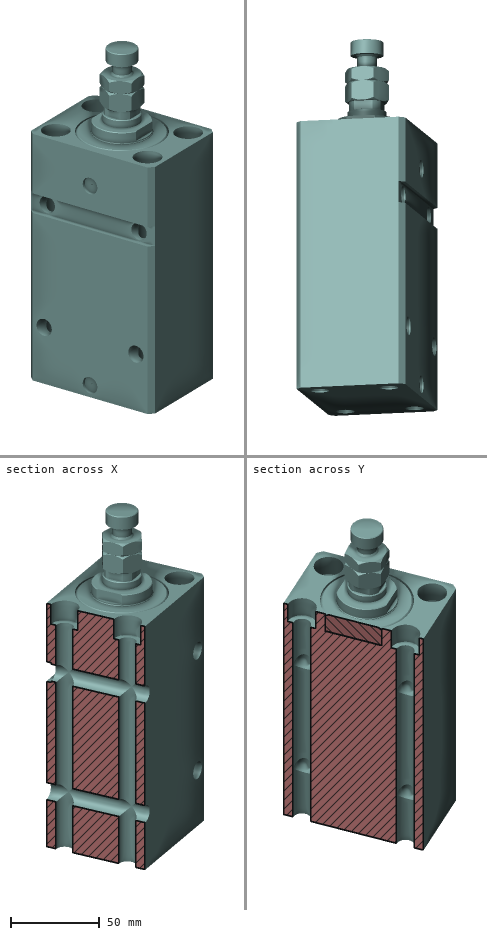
import cadquery as cq
import math

width = 85.0
depth = 63.0
total_height = 205.0
block_height = 153.0
edge_chamfer = 3.0

slot_height = 12.0
slot_depth = 3.0
slot_top = -37.0
hole_diameter = 10.5
hole_spacing_x = 63.0
hole_spacing_y = 40.0
cross_hole_spacing_z = 75.0
counterbore_diameter = 16.8
counterbore_depth = 12.3

port_diameter = 10.0
port_depth = 2.0
port_bore_diameter = 1.0
port_bore_depth = 2.0
upper_port_drop = 22.0
lower_port_rise = 7.4

gland_diameter = 52.9
gland_depth = 12.3
gland_chamfer = 1.2
boss_diameter = 34.5
boss_height = 7.2
boss_flats = 30.3
boss_shoulder_height = 1.2
boss_rim_diameter = 35.3
boss_rim_height = 0.6
boss_chamfer = 0.5

rod_diameter = 22.1
collar_height = 4.7
rod_chamfer = 0.5
square_flats = 18.0
square_corner_diameter = 21.0
square_height = 5.1

hex_flats = 22.0
lower_hex_height = 11.3
upper_hex_height = 8.0
hex_chamfer_angle = 38
neck_diameter = 11.0
neck_height = 7.8
neck_flare = 1.0
head_diameter = 18.5
head_chamfer = 0.5

housing_bottom = -block_height
head_top = total_height - block_height
slot_middle = slot_top - slot_height / 2
collar_top = boss_height + collar_height
rod_end = collar_top + square_height
lower_hex_top = rod_end + lower_hex_height
upper_hex_top = lower_hex_top + upper_hex_height
head_bottom = upper_hex_top + neck_height
front_face = -depth / 2


def cylinder(diameter, bottom, top):
    """Upright cylinder on the Z axis between two levels."""
    return cq.Workplane("XY").workplane(offset=bottom).circle(diameter / 2).extrude(top - bottom)


def front_drill(diameter, points, start_y, length):
    """Cylinders running in +Y from start_y at the given (x, z) points."""
    plane = cq.Workplane("XZ", origin=(0, start_y, 0))
    return plane.pushPoints(points).circle(diameter / 2).extrude(-length)


def make_housing():
    """Block with cross slot, mounting holes, ports and the recess for the gland."""
    block = cq.Workplane("XY").workplane(offset=housing_bottom).rect(width, depth).extrude(block_height)
    block = block.edges("|Z").chamfer(edge_chamfer)

    slot = cq.Workplane("XY").box(width, 2 * slot_depth, slot_height).translate((0, front_face, slot_middle))
    block = block.cut(slot)

    block = (
        block.faces(">Z").workplane(origin=(0, 0, 0))
        .rarray(hole_spacing_x, hole_spacing_y, 2, 2)
        .cboreHole(hole_diameter, counterbore_diameter, counterbore_depth)
    )

    cross_holes = [
        (side * hole_spacing_x / 2, level)
        for side in (-1, 1)
        for level in (slot_middle, slot_middle - cross_hole_spacing_z)
    ]
    block = block.cut(front_drill(hole_diameter, cross_holes, front_face, depth))

    ports = [(0, -upper_port_drop), (0, housing_bottom + lower_port_rise)]
    block = block.cut(front_drill(port_diameter, ports, front_face, port_depth))
    block = block.cut(front_drill(port_bore_diameter, ports, front_face + port_depth, port_bore_depth))

    return block.cut(cylinder(gland_diameter, -gland_depth, 0))


def make_gland():
    """Chamfered disc flush with the housing, with a rimmed two-flat boss and a bore for the rod."""
    disc = cylinder(gland_diameter, -gland_depth, 0).faces(">Z").chamfer(gland_chamfer)

    boss = cylinder(boss_diameter, 0, boss_height).faces(">Z").edges().chamfer(boss_chamfer)
    between_flats = (
        cq.Workplane("XY").workplane(offset=boss_shoulder_height)
        .rect(boss_flats, boss_diameter).extrude(boss_height - boss_shoulder_height)
    )
    shoulder = cylinder(boss_diameter, 0, boss_shoulder_height)
    boss = boss.intersect(between_flats.union(shoulder))

    rim_chamfer = (boss_rim_diameter - boss_diameter) / 2
    rim = cylinder(boss_rim_diameter, 0, boss_rim_height).faces(">Z").edges().chamfer(rim_chamfer)

    return disc.union(boss).union(rim).cut(cylinder(rod_diameter, -gland_depth, boss_height))


def make_rod():
    """Round rod through the gland, ending in a wrench square with rounded corners."""
    rod = cylinder(rod_diameter, -gland_depth, collar_top).faces(">Z").edges().chamfer(rod_chamfer)
    square = cq.Workplane("XY").workplane(offset=collar_top).rect(square_flats, square_flats)
    square = square.extrude(square_height)
    return rod.union(square.intersect(cylinder(square_corner_diameter, collar_top, rod_end)))


def chamfered_hexagon(bottom, height):
    """Hexagon with two corners on the Y axis, its corners turned off at both ends."""
    corner_radius = hex_flats / math.sqrt(3)
    face_radius = hex_flats / 2
    chamfer_height = (corner_radius - face_radius) * math.tan(math.radians(hex_chamfer_angle))
    hexagon = cq.Workplane("XY").polygon(6, 2 * corner_radius).extrude(height)
    hexagon = hexagon.rotate((0, 0, 0), (0, 0, 1), 90)
    turned = (
        cq.Workplane("XZ")
        .moveTo(0, 0)
        .lineTo(face_radius, 0)
        .lineTo(corner_radius, chamfer_height)
        .lineTo(corner_radius, height - chamfer_height)
        .lineTo(face_radius, height)
        .lineTo(0, height)
        .close()
        .revolve(360, (0, 0), (0, 1))
    )
    return hexagon.intersect(turned).translate((0, 0, bottom))


def make_coupling_screw():
    """Two stacked hexagons carrying a round head on a neck flared at both ends."""
    neck_radius = neck_diameter / 2
    head_radius = head_diameter / 2
    flare_radius = neck_radius + neck_flare
    neck_and_head = (
        cq.Workplane("XZ")
        .moveTo(0, upper_hex_top)
        .lineTo(flare_radius, upper_hex_top)
        .lineTo(neck_radius, upper_hex_top + neck_flare)
        .lineTo(neck_radius, head_bottom - neck_flare)
        .lineTo(flare_radius, head_bottom)
        .lineTo(head_radius, head_bottom)
        .lineTo(head_radius, head_top - head_chamfer)
        .lineTo(head_radius - head_chamfer, head_top)
        .lineTo(0, head_top)
        .close()
        .revolve(360, (0, 0), (0, 1))
    )
    lower_hexagon = chamfered_hexagon(rod_end, lower_hex_height)
    upper_hexagon = chamfered_hexagon(lower_hex_top, upper_hex_height)
    return lower_hexagon.union(upper_hexagon).union(neck_and_head)


housing = make_housing()
gland = make_gland()
rod = make_rod()
coupling_screw = make_coupling_screw()

result = cq.Compound.makeCompound([
    housing.solids().val(),
    gland.solids().val(),
    rod.solids().val(),
    coupling_screw.solids().val(),
])